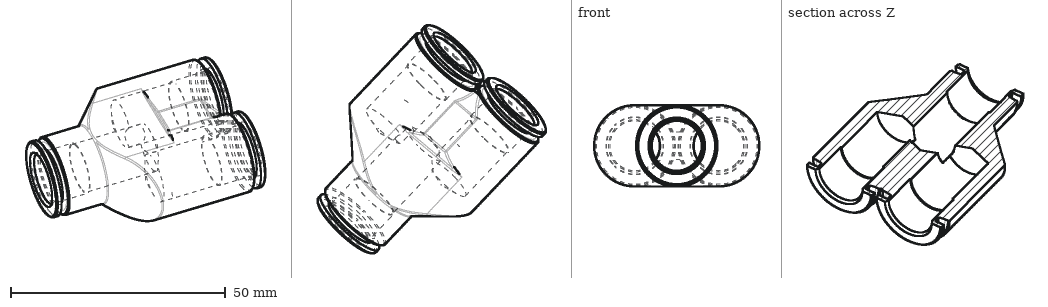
import cadquery as cq
import math


length = 48.8
half_length = length / 2
branch_offset = 9.75
body_radius = 19.0 / 2

collar_radius = 9.2
collar_thickness = 1.25
collar_chamfer = 0.3
neck_radius = 6.75
body_end = 21.5
end_chamfer = 0.3
rise_radius = 8.35
rise_height = 0.25

shoulder_y = -11.55
shoulder_round = 0.5

web_half_thickness = 7.05
recess_low_y = 5.08
recess_floor_y = 6.55
recess_high_y = 17.35
web_end = body_end - end_chamfer
recess_round = 0.5

bore_radius = 5.8
collar_bore_radius = 6.1
mouth_radius = 6.6
mouth_depth = 0.85
collar_bore_depth = 9.75
branch_bore_end = 0.0
stem_bore_end = 2.95
bore_tip_slope = 20
bore_tip_height = bore_radius * math.tan(math.radians(bore_tip_slope))


def y_cylinder(radius, y_start, y_end, x=0.0):
    """Cylinder around an axis parallel to Y."""
    height = y_end - y_start
    return cq.Workplane("XZ", origin=(x, y_start, 0)).circle(radius).extrude(-height)


def revolve_y(points):
    """Solid of revolution around the Y axis from (radius, y) points."""
    return cq.Workplane("XY").polyline(points).close().revolve(360, (0, 0, 0), (0, 1, 0))


def make_web():
    """Block between the branch axes, stepped down to the recess floors and tapered at the end."""
    end_half_thickness = web_half_thickness - (web_end - recess_high_y)
    upper = [
        (shoulder_y, body_radius),
        (recess_low_y, body_radius),
        (recess_floor_y, web_half_thickness),
        (recess_high_y, web_half_thickness),
        (web_end, end_half_thickness),
    ]
    lower = [(y, -z) for y, z in reversed(upper)]
    return cq.Workplane("YZ").polyline(upper + lower).close().extrude(branch_offset, both=True)


def edges_between(solid, y_min, y_max, x_limit, z_limit):
    """Edges whose centres lie between two Y values and within +-x_limit and +-z_limit."""
    margin = 0.005
    size_x = 2 * (x_limit + margin)
    size_y = y_max - y_min + 2 * margin
    size_z = 2 * (z_limit + margin)
    zone = cq.Workplane("XY").box(size_x, size_y, size_z)
    zone = zone.translate((0, (y_min + y_max) / 2, 0)).val()
    chosen = [edge for edge in solid.edges().vals() if zone.isInside(edge.Center())]
    return solid.newObject(chosen)


def round_recesses(branches):
    """Round every edge of the two recesses, where faces of the web meet each other or the barrels."""
    margin = 0.5
    inside_branches = branch_offset - margin
    end_edges_y = web_end - margin
    edges = edges_between(branches, recess_low_y, end_edges_y, inside_branches, body_radius)
    return edges.fillet(recess_round)


def round_shoulder(body):
    """Round the shoulder cone into the branches and the stem."""
    edges = edges_between(body, shoulder_y, 0, branch_offset + body_radius, body_radius)
    return edges.edges("not %LINE").fillet(shoulder_round)


def make_branches():
    """Two branch barrels and the web, trimmed by the conical shoulder."""
    branches = make_web()
    for x in (-branch_offset, branch_offset):
        barrel = y_cylinder(body_radius, shoulder_y, body_end, x)
        branches = branches.union(barrel.faces(">Y").chamfer(end_chamfer))
    branches = round_recesses(branches)
    cone_length = body_end - shoulder_y
    envelope = revolve_y([
        (0, shoulder_y),
        (body_radius, shoulder_y),
        (body_radius + cone_length, body_end),
        (0, body_end),
    ])
    return branches.intersect(envelope)


def make_stem():
    """Single barrel at the -Y end."""
    stem = y_cylinder(body_radius, -body_end, shoulder_y)
    return stem.faces("<Y").chamfer(end_chamfer)


def make_collar():
    """Neck with its conical foot and the flange of a release collar, at the +Y end of the Y axis."""
    neck = revolve_y([
        (0, body_end),
        (rise_radius, body_end),
        (neck_radius, body_end + rise_height),
        (neck_radius, half_length),
        (0, half_length),
    ])
    flange = y_cylinder(collar_radius, half_length - collar_thickness, half_length)
    return neck.union(flange.faces(">Y").edges().chamfer(collar_chamfer))


def make_bore(inner_end):
    """Blind bore with a flared mouth at +Y and a drill-point end."""
    return revolve_y([
        (0, half_length),
        (mouth_radius, half_length),
        (collar_bore_radius, half_length - mouth_depth),
        (collar_bore_radius, half_length - collar_bore_depth),
        (bore_radius, half_length - collar_bore_depth),
        (bore_radius, inner_end),
        (0, inner_end - bore_tip_height),
    ])


def at_sockets(branch_part, stem_part):
    """Put a +Y socket part on both branches and another, turned to -Y, on the stem."""
    left = branch_part.translate((-branch_offset, 0, 0))
    right = branch_part.translate((branch_offset, 0, 0))
    stem = stem_part.rotate((0, 0, 0), (0, 0, 1), 180)
    return left, right, stem


result = round_shoulder(make_branches().union(make_stem()))
collar = make_collar()
for placed in at_sockets(collar, collar):
    result = result.union(placed)
for placed in at_sockets(make_bore(branch_bore_end), make_bore(-stem_bore_end)):
    result = result.cut(placed)